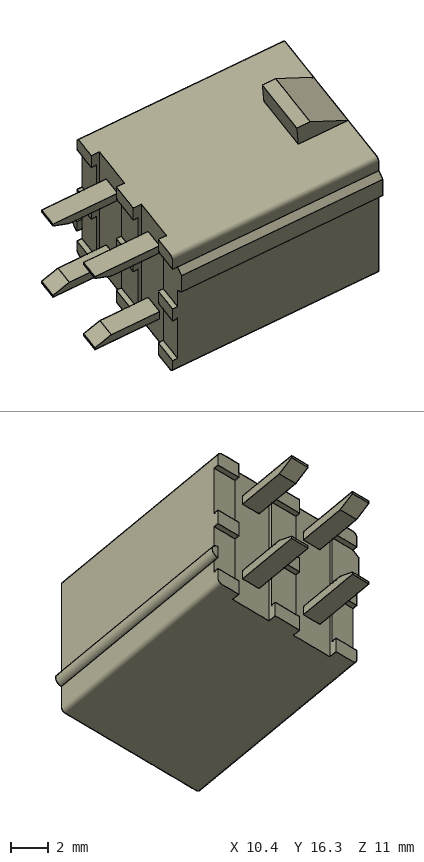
import cadquery as cq

total_length = 16.3
housing_size = 9.6
housing_length = 12.8
edge_radius = 0.3
side_x = housing_size / 2

latch_width = 3.45
latch_height = 1.4
latch_ramp_length = 2.36
latch_top_length = 3.2
latch_base_length = 3.1

rail_radius = 0.4
rail_z = 2.2
key_depth = 0.4
key_height = 1.97
key_bevel = 0.31

pad_height = 1.0
pad_depth = 0.31
channel_width = 2.51
channel_depth = 0.5

column_pitch = 4.2
row_pitch = 5.5
lower_row_z = 2.25
pin_width = 1.14
pin_thickness = 0.6
pin_tip_thickness = 0.16
pin_taper_length = 1.01

column_positions = (-column_pitch / 2, column_pitch / 2)


def block(x_range, y_range, z_range):
    """Axis-aligned box between the given limits."""
    size = [high - low for low, high in (x_range, y_range, z_range)]
    corner = cq.Vector(x_range[0], y_range[0], z_range[0])
    return cq.Workplane(cq.Solid.makeBox(*size, pnt=corner))


def side_profile(points, center_x, width):
    """Prism of the given (Y, Z) outline, with its width centred on center_x."""
    return cq.Workplane("YZ", origin=(center_x, 0, 0)).polyline(points).close().extrude(width / 2, both=True)


def make_housing():
    housing = block((-side_x, side_x), (-housing_length, 0), (0, housing_size))
    housing = housing.edges("|Y").fillet(edge_radius)

    band_height = (housing_size - 3 * pad_height) / 2
    pad_floor_y = -housing_length + pad_depth
    for band_z in (pad_height, 2 * pad_height + band_height):
        band = block((-side_x, side_x), (-housing_length, pad_floor_y), (band_z, band_z + band_height))
        housing = housing.cut(band)

    channel_floor_y = -housing_length + channel_depth
    for x in column_positions:
        channel = block(
            (x - channel_width / 2, x + channel_width / 2),
            (-housing_length, channel_floor_y),
            (0, housing_size),
        )
        housing = housing.cut(channel)
    return housing


def make_latch():
    top_z = housing_size + latch_height
    outline = [
        (0, housing_size),
        (-latch_ramp_length, top_z),
        (-latch_top_length, top_z),
        (-latch_base_length, housing_size),
    ]
    return side_profile(outline, 0, latch_width)


def make_rail():
    return (
        cq.Workplane("XZ")
        .moveTo(-side_x, rail_z - rail_radius)
        .threePointArc((-side_x - rail_radius, rail_z), (-side_x, rail_z + rail_radius))
        .close()
        .extrude(housing_length)
    )


def make_key():
    key_top = housing_size - pad_height
    key_bottom = key_top - key_height
    outline = [
        (side_x, key_bottom),
        (side_x + key_depth, key_bottom + key_bevel),
        (side_x + key_depth, key_top - key_bevel),
        (side_x, key_top),
    ]
    return cq.Workplane("XZ").polyline(outline).close().extrude(housing_length - pad_depth)


def make_pin(x, z, outward):
    """Pin centred at (x, z); outward is +1 or -1 for the Z side that stays flat to the tip."""
    root_y = -housing_length + channel_depth
    outer_z = z + outward * pin_thickness / 2
    inner_z = z - outward * pin_thickness / 2
    outline = [
        (root_y, outer_z),
        (-total_length, outer_z),
        (-total_length, outer_z - outward * pin_tip_thickness),
        (-total_length + pin_taper_length, inner_z),
        (root_y, inner_z),
    ]
    return side_profile(outline, x, pin_width)


result = make_housing().union(make_latch()).union(make_rail()).union(make_key())
for column_x in column_positions:
    result = result.union(make_pin(column_x, lower_row_z, -1))
    result = result.union(make_pin(column_x, lower_row_z + row_pitch, 1))